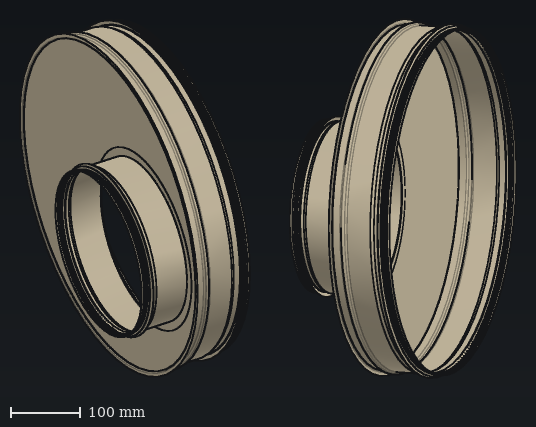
import cadquery as cq
import math


WALL = 0.5
BEND_RADIUS = 2.0

OVERALL_DEPTH = 163.5

GROOVE_RUNOUT = 1.5
END_LAND = 6.0

HEM_LENGTH = 3.5

SPIGOT_RADIUS = 499.0 / 2
SPIGOT_GROOVE_RADIUS = 494.0 / 2
SPIGOT_LENGTH = 91.0
SPIGOT_CONE_START = 61.0
SPIGOT_CONE_END = 65.5
SPIGOT_GROOVE_END = SPIGOT_LENGTH - GROOVE_RUNOUT - END_LAND
FLANGE_RADIUS = 513 / 2

BEAD_CENTRE = 19.5
BEAD_HALF_WIDTH = 5.5
BEAD_HEIGHT = 4.0

PLATE_RADIUS = SPIGOT_RADIUS - WALL
PLATE_FRONT = BEND_RADIUS
PLATE_THICKNESS = 1.0

COLLAR_OFFSET = 98.5
COLLAR_RADIUS = 249.0 / 2
COLLAR_GROOVE_RADIUS = 244.5 / 2
COLLAR_FLANGE_RADIUS = 275.0 / 2
COLLAR_LENGTH = OVERALL_DEPTH - SPIGOT_LENGTH + PLATE_FRONT
COLLAR_CONE_START = 50.5
COLLAR_CONE_END = 54.5
COLLAR_GROOVE_END = COLLAR_LENGTH - GROOVE_RUNOUT - END_LAND

SEAL_BASE = 1.0
SEAL_LIP_THICKNESS = 1.0
SEAL_LEAN = 1.5
SHORT_LIP_POSITION = 2.0
SHORT_LIP_HEIGHT = 5.0
TALL_LIP_POSITION = 6.5
TALL_LIP_HEIGHT = 7.5
SEAL_LENGTH = TALL_LIP_POSITION + SEAL_LIP_THICKNESS


def revolve_about_y(outline):
    """Turn an outline drawn as (radius, y) into a ring around the Y axis."""
    return outline.close().revolve(360, (0, 0, 0), (0, 1, 0))


def add_bead(outline, inset, direction):
    """Continue an outline over the bead, inset below its outer skin.

    Four tangent arcs: concave, two halves of the convex crown, concave.
    direction is +1 to run towards +Y and -1 to run back.
    """
    arc_radius = (BEAD_HALF_WIDTH**2 + BEAD_HEIGHT**2) / (4 * BEAD_HEIGHT)
    sweep = math.asin(BEAD_HALF_WIDTH / 2 / arc_radius)
    foot_arc = arc_radius + inset
    crown_arc = arc_radius - inset
    foot_centre = SPIGOT_RADIUS + arc_radius
    crown_centre = SPIGOT_RADIUS + BEAD_HEIGHT - arc_radius

    def foot_point(angle, side):
        y = BEAD_CENTRE + side * (BEAD_HALF_WIDTH - foot_arc * math.sin(angle))
        return (foot_centre - foot_arc * math.cos(angle), y)

    crown = (crown_centre + crown_arc, BEAD_CENTRE)
    near, far = -direction, direction
    return (
        outline.lineTo(*foot_point(0, near))
        .threePointArc(foot_point(sweep / 2, near), foot_point(sweep, near))
        .threePointArc(crown, foot_point(sweep, far))
        .threePointArc(foot_point(sweep / 2, far), foot_point(0, far))
    )


def groove_points(radius, groove_radius, cone_start, cone_end, groove_end, length):
    """Stations of a sleeve from its seal groove to its open end."""
    return [
        (radius, cone_start),
        (groove_radius, cone_end),
        (groove_radius, groove_end),
        (radius, groove_end + GROOVE_RUNOUT),
        (radius, length),
    ]


def hem_points(radius, length):
    """Outline of the hem, one sheet thickness proud of the sleeve."""
    return [
        (radius, length - HEM_LENGTH),
        (radius + WALL, length - HEM_LENGTH),
        (radius + WALL, length),
    ]


def inner_skin(points):
    """The same stations on the inside of the sheet, from the open end back."""
    return [(radius - WALL, y) for radius, y in reversed(points)]


def add_lines(outline, points):
    for point in points:
        outline = outline.lineTo(*point)
    return outline


def make_spigot():
    bore = SPIGOT_RADIUS - WALL
    bend_centre = bore + BEND_RADIUS

    def bend_middle(radius):
        reach = radius * math.sqrt(0.5)
        return (bend_centre - reach, BEND_RADIUS - reach)

    skin = groove_points(
        SPIGOT_RADIUS, SPIGOT_GROOVE_RADIUS,
        SPIGOT_CONE_START, SPIGOT_CONE_END, SPIGOT_GROOVE_END, SPIGOT_LENGTH,
    )
    outline = (
        cq.Workplane("XY")
        .moveTo(bend_centre, 0)
        .lineTo(FLANGE_RADIUS, 0)
        .lineTo(FLANGE_RADIUS, WALL)
        .lineTo(bend_centre, WALL)
        .threePointArc(bend_middle(BEND_RADIUS - WALL), (SPIGOT_RADIUS, BEND_RADIUS))
    )
    outline = add_bead(outline, 0, 1)
    hem = hem_points(SPIGOT_RADIUS, SPIGOT_LENGTH)
    outline = add_lines(outline, skin[:-1] + hem + inner_skin(skin))
    outline = add_bead(outline, WALL, -1)
    outline = outline.lineTo(bore, BEND_RADIUS).threePointArc(bend_middle(BEND_RADIUS), (bend_centre, 0))
    return revolve_about_y(outline)


def make_end_plate():
    plate = cq.Workplane("XZ", origin=(0, PLATE_FRONT, 0)).circle(PLATE_RADIUS).extrude(-PLATE_THICKNESS)
    opening = (
        cq.Workplane("XZ", origin=(COLLAR_OFFSET, PLATE_FRONT, 0))
        .circle(COLLAR_RADIUS - WALL)
        .extrude(-PLATE_THICKNESS)
    )
    return plate.cut(opening)


def place_on_plate(body):
    """Turn a body built towards +Y to face -Y, and move it to the collar axis on the plate."""
    return body.rotate((0, 0, 0), (0, 0, 1), 180).translate((COLLAR_OFFSET, PLATE_FRONT, 0))


def make_collar():
    skin = groove_points(
        COLLAR_RADIUS, COLLAR_GROOVE_RADIUS,
        COLLAR_CONE_START, COLLAR_CONE_END, COLLAR_GROOVE_END, COLLAR_LENGTH,
    )
    outline = (
        cq.Workplane("XY")
        .moveTo(COLLAR_RADIUS - WALL, 0)
        .lineTo(COLLAR_FLANGE_RADIUS, 0)
        .lineTo(COLLAR_FLANGE_RADIUS, WALL)
        .lineTo(COLLAR_RADIUS, WALL)
    )
    hem = hem_points(COLLAR_RADIUS, COLLAR_LENGTH)
    outline = add_lines(outline, skin[:-1] + hem + inner_skin(skin))
    return place_on_plate(revolve_about_y(outline))


def add_lip(outline, floor_radius, groove_end, position, height):
    """Continue a seal outline around one lip that leans away from the open end."""
    root = groove_end - position
    base = floor_radius + SEAL_BASE
    tip = floor_radius + height
    return (
        outline.lineTo(base, root)
        .lineTo(tip, root - SEAL_LEAN)
        .lineTo(tip, root - SEAL_LEAN - SEAL_LIP_THICKNESS)
        .lineTo(base, root - SEAL_LIP_THICKNESS)
    )


def make_seal(floor_radius, groove_end):
    """A double-lip seal lying on the groove floor against the end of the groove."""
    outline = (
        cq.Workplane("XY")
        .moveTo(floor_radius, groove_end - SEAL_LENGTH)
        .lineTo(floor_radius, groove_end)
        .lineTo(floor_radius + SEAL_BASE, groove_end)
    )
    outline = add_lip(outline, floor_radius, groove_end, SHORT_LIP_POSITION, SHORT_LIP_HEIGHT)
    outline = add_lip(outline, floor_radius, groove_end, TALL_LIP_POSITION, TALL_LIP_HEIGHT)
    return revolve_about_y(outline)


spigot = make_spigot()
end_plate = make_end_plate()
collar = make_collar()
spigot_seal = make_seal(SPIGOT_GROOVE_RADIUS, SPIGOT_GROOVE_END)
collar_seal = place_on_plate(make_seal(COLLAR_GROOVE_RADIUS, COLLAR_GROOVE_END))

result = cq.Compound.makeCompound(
    [spigot.val(), end_plate.val(), collar.val(), spigot_seal.val(), collar_seal.val()]
)